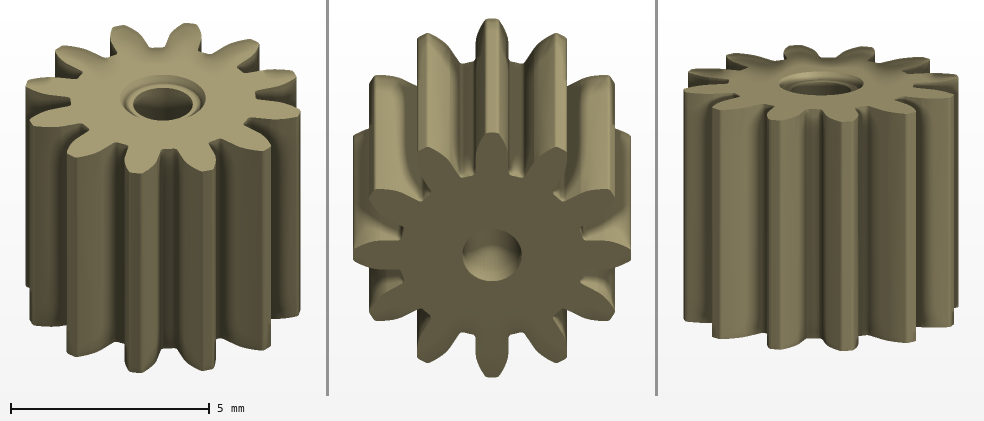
import cadquery as cq
import math

tooth_count = 12
module = 0.5
pressure_angle = math.radians(20)
dedendum_factor = 1.35
face_width = 6.0

pitch_radius = module * tooth_count / 2
base_radius = pitch_radius * math.cos(pressure_angle)
tip_radius = pitch_radius + module
root_radius = pitch_radius - dedendum_factor * module
flank_start_radius = 2.855
root_fillet = 0.1
tip_fillet = 0.1

bore_diameter = 1.5
recess_top_diameter = 2.15
recess_floor_diameter = 1.9
recess_depth = 0.18

flank_point_count = 7
match_tolerance = 1e-4
half_pitch_angle = math.pi / tooth_count


def involute(angle):
    return math.tan(angle) - angle


def flank_angle(radius):
    """Angle between the gap centreline and the involute flank at a radius."""
    profile_angle = math.acos(base_radius / radius)
    return half_pitch_angle / 2 - involute(pressure_angle) + involute(profile_angle)


def flank_point(radius):
    """Point on the +Y flank of the gap that is centred on the X axis."""
    angle = flank_angle(radius)
    return (radius * math.cos(angle), radius * math.sin(angle))


def mirrored(point):
    """Point reflected in the X axis."""
    return (point[0], -point[1])


def root_corner():
    """Point where the tangent at the start of the involute meets the root circle."""
    x, y = flank_point(flank_start_radius)
    slope_angle = flank_angle(flank_start_radius) + math.acos(base_radius / flank_start_radius)
    across = math.cos(slope_angle)
    rise = math.sin(slope_angle)
    along = x * across + y * rise
    length = along - math.sqrt(along**2 - flank_start_radius**2 + root_radius**2)
    return (x - length * across, y - length * rise)


def turned(point, angle):
    """Point turned about the gear axis."""
    x, y = point
    return (x * math.cos(angle) - y * math.sin(angle), x * math.sin(angle) + y * math.cos(angle))


def toothed_blank():
    """Gear body with sharp root and tip corners, gap centred on the X axis first."""
    radius_step = (tip_radius - flank_start_radius) / (flank_point_count - 1)
    rising_flank = [flank_point(flank_start_radius + i * radius_step) for i in range(flank_point_count)]
    falling_flank = [mirrored(point) for point in reversed(rising_flank)]
    rising_corner = root_corner()
    falling_corner = mirrored(rising_corner)

    outline = cq.Workplane("XY").moveTo(*falling_corner)
    for index in range(tooth_count):
        gap_angle = 2 * index * half_pitch_angle
        tooth_angle = gap_angle + half_pitch_angle
        next_gap_angle = gap_angle + 2 * half_pitch_angle
        rising = [turned(point, gap_angle) for point in rising_flank]
        falling = [turned(point, next_gap_angle) for point in falling_flank]
        outline = (
            outline.threePointArc(turned((root_radius, 0), gap_angle), turned(rising_corner, gap_angle))
            .lineTo(*rising[0])
            .spline(rising[1:], includeCurrent=True)
            .threePointArc(turned((tip_radius, 0), tooth_angle), falling[0])
            .spline(falling[1:], includeCurrent=True)
            .lineTo(*turned(falling_corner, next_gap_angle))
        )
    return outline.close().extrude(face_width)


def round_corners(blank, corner_radius, fillet_radius):
    """Round the lengthwise edges that lie at corner_radius from the gear axis."""
    corner_edges = []
    for edge in blank.edges("|Z").vals():
        middle = edge.Center()
        axis_distance = math.hypot(middle.x, middle.y)
        if math.isclose(axis_distance, corner_radius, abs_tol=match_tolerance):
            corner_edges.append(edge)
    return blank.newObject(corner_edges).fillet(fillet_radius)


def bore():
    """Through bore with the conical recess at the top face, as one revolved solid."""
    recess_floor = face_width - recess_depth
    return (
        cq.Workplane("XZ")
        .lineTo(bore_diameter / 2, 0)
        .lineTo(bore_diameter / 2, recess_floor)
        .lineTo(recess_floor_diameter / 2, recess_floor)
        .lineTo(recess_top_diameter / 2, face_width)
        .lineTo(0, face_width)
        .close()
        .revolve(360, (0, 0, 0), (0, 1, 0))
    )


gear = toothed_blank()
gear = round_corners(gear, root_radius, root_fillet)
gear = round_corners(gear, tip_radius, tip_fillet)
result = gear.cut(bore())